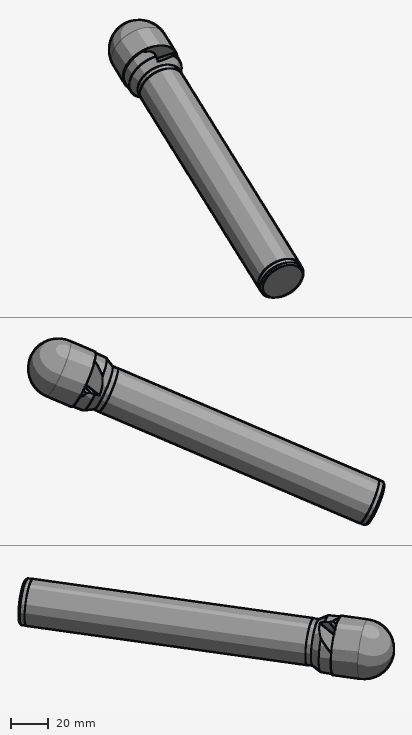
import cadquery as cq
import math

total_length = 200.0
head_end = 30.5
collar_end = 37.0
cone_end = 41.8
shank_start = 44.8
shank_end = 196.5

head_diameter = 31.8
head_radius = head_diameter / 2
collar_front_radius = 15.5
collar_rear_radius = 15.2
shank_radius = 12.5
shank_step = 0.1
end_chamfer = 1.0

gullet_count = 2
gullet_wall_y = 0.5
gullet_floor_z = 5.8
gullet_floor_angle = 40.5
clearance = 20.0

relief_depth = 4.0
inner_relief_length = 1.8
inner_relief_taper = 0.6
inner_relief_top = 8.8
outer_relief_z = 9.5
outer_relief_step = 1.2
outer_relief_step_z = 12.5
outer_relief_bottom_z = 13.5
outer_relief_angle = 53.0


def turned_body():
    """Ball-nosed head, tapered collar, cone and shank, slightly relieved at both shank ends."""
    relieved_radius = shank_radius - shank_step
    nose_mid = head_radius * math.sqrt(0.5)
    return (
        cq.Workplane("XY")
        .moveTo(0, 0)
        .threePointArc((head_radius - nose_mid, nose_mid), (head_radius, head_radius))
        .lineTo(head_end, head_radius)
        .lineTo(head_end, collar_front_radius)
        .lineTo(collar_end, collar_rear_radius)
        .lineTo(cone_end, relieved_radius)
        .lineTo(shank_start, relieved_radius)
        .lineTo(shank_start, shank_radius)
        .lineTo(shank_end, shank_radius)
        .lineTo(shank_end, relieved_radius)
        .lineTo(total_length - end_chamfer, relieved_radius)
        .lineTo(total_length, relieved_radius - end_chamfer)
        .lineTo(total_length, 0)
        .close()
        .revolve(360, (0, 0, 0), (1, 0, 0))
    )


def rise(angle):
    """Height gained over the clearance length along a slope."""
    return clearance * math.tan(math.radians(angle))


def gullet():
    """Open notch behind the head: a wall along X and a sloping floor."""
    outline = [
        (head_end, gullet_floor_z),
        (head_end + clearance, gullet_floor_z + rise(gullet_floor_angle)),
        (head_end, gullet_floor_z + rise(gullet_floor_angle)),
    ]
    wall_plane = cq.Workplane("XZ", origin=(0, gullet_wall_y, 0))
    return wall_plane.polyline(outline).close().extrude(-clearance)


def inner_relief():
    """Small recess where the gullet floor meets the head, tapering to a flat bottom."""
    def triangle(scale):
        length = inner_relief_length * scale
        corner_z = gullet_floor_z + length * math.tan(math.radians(gullet_floor_angle))
        top_z = gullet_floor_z + (inner_relief_top - gullet_floor_z) * scale
        return [(head_end, gullet_floor_z), (head_end + length, corner_z), (head_end, top_z)]

    return (
        cq.Workplane("XZ", origin=(0, gullet_wall_y, 0))
        .polyline(triangle(1.0))
        .close()
        .workplane(offset=relief_depth)
        .polyline(triangle(inner_relief_taper))
        .close()
        .loft(ruled=True)
    )


def outer_relief():
    """Recess that breaks out through the collar, with a shallow and then a steep flank."""
    top_z = outer_relief_z + rise(outer_relief_angle)

    def triangle(start_z):
        length = (top_z - start_z) / math.tan(math.radians(outer_relief_angle))
        return [(head_end, start_z), (head_end + length, top_z), (head_end, top_z)]

    return (
        cq.Workplane("XZ", origin=(0, gullet_wall_y, 0))
        .polyline(triangle(outer_relief_z))
        .close()
        .workplane(offset=outer_relief_step)
        .polyline(triangle(outer_relief_step_z))
        .close()
        .workplane(offset=relief_depth - outer_relief_step)
        .polyline(triangle(outer_relief_bottom_z))
        .close()
        .loft(ruled=True)
    )


result = turned_body()
pocket = gullet().union(inner_relief()).union(outer_relief())
for index in range(gullet_count):
    turn = index * 360 / gullet_count
    result = result.cut(pocket.rotate((0, 0, 0), (1, 0, 0), turn))